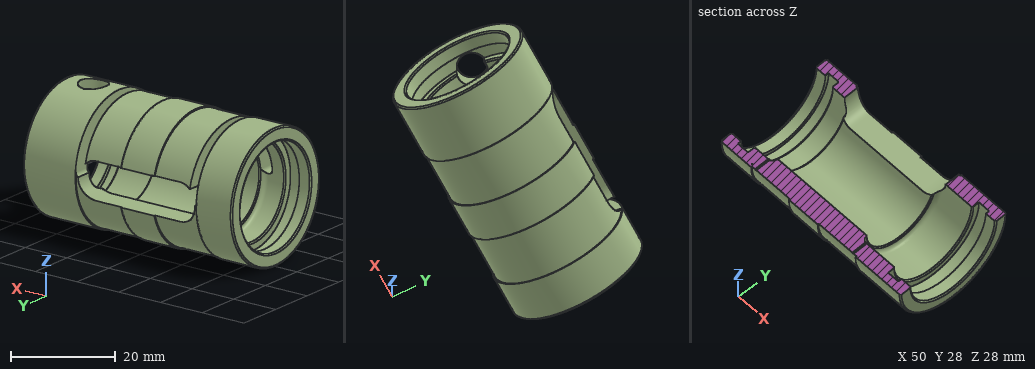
import cadquery as cq
import math

length = 50.0
outer_radius = 14.0
edge_chamfer = 0.3

middle_x = 23.0
left_collar_length = 8.5
right_collar_start = 2 * middle_x - left_collar_length
waist_radius = 13.75
band_width = 8.0

cut_clearance = 1.0

cross_slot_width = 2.0
cross_slot_floor_z = 0.0

bore_radius = 10.2
ledge_radius = 8.9
ledge_chamfer = 0.25
ledge_fillet = 1.0
ledge_start = left_collar_length + cross_slot_width
ledge_end = right_collar_start - cross_slot_width

counterbore_radius = 11.1
counterbore_depth = 5.5
groove_radius = 11.95
groove_width = 2.75
bore_chamfer = 0.3

window_length = 28.0
window_width = 8.0

hole_diameter = 6.0
hole_x = 43.7


def outer_body():
    """Solid sleeve with two collars, two waists and a central band, revolved about X."""
    band_start = middle_x - band_width / 2
    band_end = middle_x + band_width / 2
    profile = (
        cq.Workplane("XZ")
        .moveTo(0, 0)
        .lineTo(0, outer_radius - edge_chamfer)
        .lineTo(edge_chamfer, outer_radius)
        .lineTo(left_collar_length, outer_radius)
        .lineTo(left_collar_length, waist_radius)
        .lineTo(band_start, waist_radius)
        .lineTo(band_start, outer_radius)
        .lineTo(band_end, outer_radius)
        .lineTo(band_end, waist_radius)
        .lineTo(right_collar_start, waist_radius)
        .lineTo(right_collar_start, outer_radius)
        .lineTo(length - edge_chamfer, outer_radius)
        .lineTo(length, outer_radius - edge_chamfer)
        .lineTo(length, 0)
        .close()
    )
    return profile.revolve(360, (0, 0, 0), (1, 0, 0))


def bore_end(face_x, inward, ledge_x):
    """Cutter for the bore from one end face to the middle; inward is +1 or -1 along X."""
    shoulder_x = face_x + inward * counterbore_depth
    groove_x = shoulder_x - inward * groove_width
    entry_x = face_x + inward * bore_chamfer
    fillet_start_x = ledge_x - inward * ledge_fillet
    fillet_end_radius = bore_radius - ledge_fillet
    arc_offset = ledge_fillet * math.sqrt(0.5)
    fillet_middle = (fillet_start_x + inward * arc_offset, fillet_end_radius + arc_offset)
    profile_plane = cq.Plane(origin=(0, 0, 0), xDir=(1, 0, 0), normal=(0, 1, 0))
    profile = (
        cq.Workplane(profile_plane)
        .moveTo(face_x, 0)
        .lineTo(face_x, counterbore_radius + bore_chamfer)
        .lineTo(entry_x, counterbore_radius)
        .lineTo(groove_x, counterbore_radius)
        .lineTo(groove_x, groove_radius)
        .lineTo(shoulder_x, groove_radius)
        .lineTo(shoulder_x, bore_radius + bore_chamfer)
        .lineTo(shoulder_x + inward * bore_chamfer, bore_radius)
        .lineTo(fillet_start_x, bore_radius)
        .threePointArc(fillet_middle, (ledge_x, fillet_end_radius))
        .lineTo(ledge_x, ledge_radius + ledge_chamfer)
        .lineTo(ledge_x + inward * ledge_chamfer, ledge_radius)
        .lineTo(middle_x, ledge_radius)
        .lineTo(middle_x, 0)
        .close()
    )
    return profile.revolve(360, (0, 0, 0), (1, 0, 0))


def cross_slot(start):
    """Cutter across the sleeve in Y with a full-round floor, open upwards."""
    radius = cross_slot_width / 2
    round_z = cross_slot_floor_z + radius
    end = start + cross_slot_width
    top_z = outer_radius + cut_clearance
    return (
        cq.Workplane("XZ")
        .moveTo(start, top_z)
        .lineTo(start, round_z)
        .threePointArc((start + radius, cross_slot_floor_z), (end, round_z))
        .lineTo(end, top_z)
        .close()
        .extrude(outer_radius + cut_clearance, both=True)
    )


def side_window():
    return (
        cq.Workplane("XZ", origin=(middle_x, 0, 0))
        .slot2D(window_length, window_width)
        .extrude(-(outer_radius + cut_clearance))
    )


def collar_hole():
    return (
        cq.Workplane("XY", origin=(hole_x, 0, 0))
        .circle(hole_diameter / 2)
        .extrude(outer_radius + cut_clearance)
    )


result = (
    outer_body()
    .cut(bore_end(0, 1, ledge_start))
    .cut(bore_end(length, -1, ledge_end))
    .cut(side_window())
    .cut(cross_slot(left_collar_length))
    .cut(cross_slot(ledge_end))
    .cut(collar_hole())
)